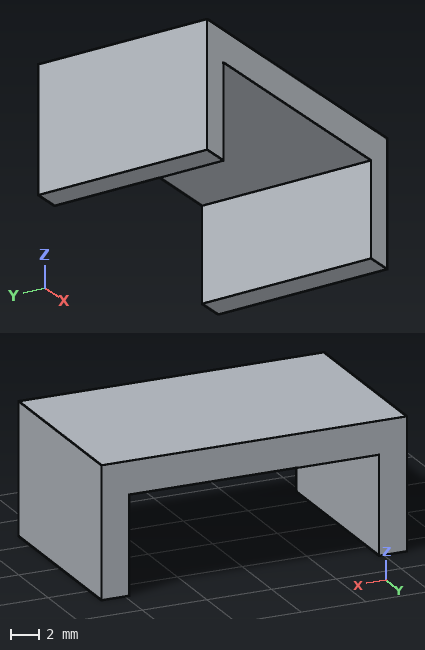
import cadquery as cq

length = 23.62
width = 14.1
height = 10.15

leg_thickness = 2.15
top_thickness = 2.55

opening_length = length - 2 * leg_thickness
opening_height = height - top_thickness

on_base = (True, True, False)
block = cq.Workplane("XY").box(length, width, height, centered=on_base)
opening = cq.Workplane("XY").box(opening_length, width, opening_height, centered=on_base)

result = block.cut(opening)